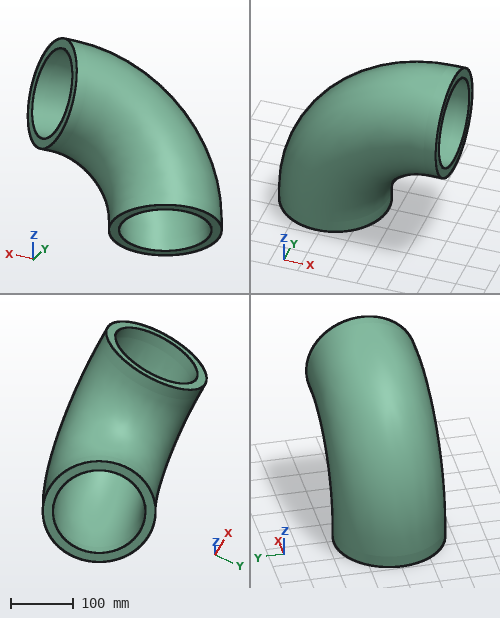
import cadquery as cq
import math

overall = 290.0
outer_diameter = 180.0
bore_diameter = 147.3
bend_radius = outer_diameter
collar_length = overall - bend_radius - outer_diameter / 2


def elbow(diameter):
    """Solid elbow rising from the origin along Z and turning to leave along +X."""
    mid_offset = bend_radius * math.cos(math.radians(45))
    bend_end_z = collar_length + bend_radius
    centreline = (
        cq.Workplane("XZ")
        .lineTo(0, collar_length)
        .threePointArc(
            (bend_radius - mid_offset, collar_length + mid_offset),
            (bend_radius, bend_end_z),
        )
        .lineTo(bend_radius + collar_length, bend_end_z)
    )
    return cq.Workplane("XY").circle(diameter / 2).sweep(centreline)


result = elbow(outer_diameter).cut(elbow(bore_diameter))